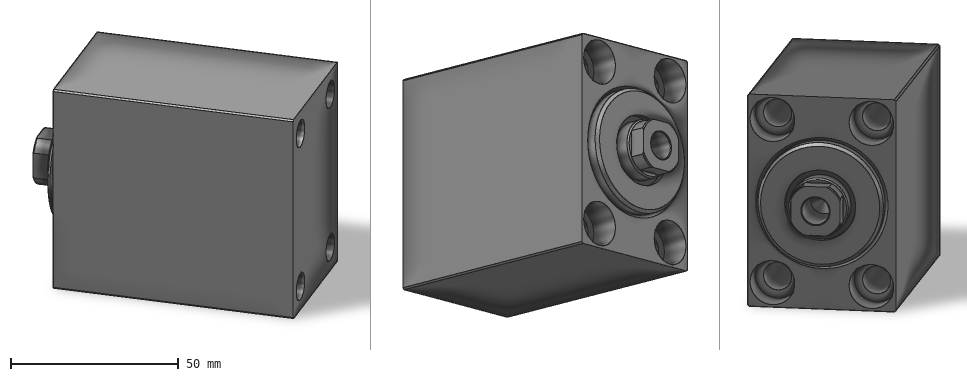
import cadquery as cq
import math

TOTAL_LENGTH = 86.0
HOUSING_LENGTH = 75.0
HOUSING_WIDTH = 45.0
HOUSING_HEIGHT = 65.0
EDGE_CHAMFER = 0.5

HOLE_SPACING_Y = 30.0
HOLE_SPACING_Z = 50.0
HOLE_DIAMETER = 8.5
COUNTERBORE_DIAMETER = 13.5
COUNTERBORE_DEPTH = 9.0

CAP_DIAMETER = 38.0
CAP_CHAMFER = 0.95
CAP_PROTRUSION = 3.0
CAP_SEAT_DEPTH = 20.0
POCKET_CHAMFER = 1.0

GROOVE_DIAMETER = 21.5
GROOVE_DEPTH = 2.0

ROD_DIAMETER = 18.0
ROD_END_DIAMETER = 17.0
ROD_END_LENGTH = 5.0
ROD_CHAMFER = (ROD_DIAMETER - ROD_END_DIAMETER) / 2
ACROSS_FLATS = 15.0
TIP_CHAMFER = 0.35

BORE_DIAMETER = 8.3
BORE_DEPTH = 15.0
BORE_CHAMFER = 0.3
DRILL_POINT_ANGLE = 118.0

ROD_TIP_X = 0.0
HOUSING_FRONT_X = TOTAL_LENGTH - HOUSING_LENGTH
CAP_FRONT_X = HOUSING_FRONT_X - CAP_PROTRUSION
SEAT_X = HOUSING_FRONT_X + CAP_SEAT_DEPTH


def cylinder(diameter, start_x, end_x):
    """Cylinder on the X axis between two stations."""
    plane = cq.Workplane("YZ", origin=(start_x, 0, 0))
    return plane.circle(diameter / 2).extrude(end_x - start_x)


def make_housing():
    """Block with a chamfered pocket for the cap and four counterbored holes."""
    block = (
        cq.Workplane("YZ", origin=(HOUSING_FRONT_X, 0, 0))
        .rect(HOUSING_WIDTH, HOUSING_HEIGHT)
        .extrude(HOUSING_LENGTH)
        .edges("|X")
        .chamfer(EDGE_CHAMFER)
    )
    block = (
        block.faces("<X")
        .workplane(origin=(HOUSING_FRONT_X, 0, 0))
        .rect(HOLE_SPACING_Y, HOLE_SPACING_Z, forConstruction=True)
        .vertices()
        .cboreHole(HOLE_DIAMETER, COUNTERBORE_DIAMETER, COUNTERBORE_DEPTH)
    )
    pocket = cylinder(CAP_DIAMETER, HOUSING_FRONT_X, SEAT_X)
    pocket_rim = cq.selectors.RadiusNthSelector(-1)
    return block.cut(pocket).faces("<X").edges("%CIRCLE").edges(pocket_rim).chamfer(POCKET_CHAMFER)


def make_cap():
    """Chamfered disc with a rod hole and a ring groove open to its front face."""
    cap = cylinder(CAP_DIAMETER, CAP_FRONT_X, SEAT_X).faces("<X").chamfer(CAP_CHAMFER)
    groove = cylinder(GROOVE_DIAMETER, CAP_FRONT_X, CAP_FRONT_X + GROOVE_DEPTH)
    rod_hole = cylinder(ROD_DIAMETER, CAP_FRONT_X, SEAT_X)
    return cap.cut(groove).cut(rod_hole)


def make_rod_bore():
    """Profile of the blind bore, turned about the X axis."""
    radius = BORE_DIAMETER / 2
    cone_length = radius / math.tan(math.radians(DRILL_POINT_ANGLE / 2))
    return (
        cq.Workplane("XY")
        .moveTo(ROD_TIP_X, 0)
        .lineTo(ROD_TIP_X, radius + BORE_CHAMFER)
        .lineTo(ROD_TIP_X + BORE_CHAMFER, radius)
        .lineTo(ROD_TIP_X + BORE_DEPTH, radius)
        .lineTo(ROD_TIP_X + BORE_DEPTH + cone_length, 0)
        .close()
        .revolve(360, (0, 0, 0), (1, 0, 0))
    )


def make_rod():
    """Round rod with a stepped end cut to four flats and a blind bore."""
    shoulder_x = ROD_TIP_X + ROD_END_LENGTH
    shank = cylinder(ROD_DIAMETER, shoulder_x, SEAT_X).faces("<X").chamfer(ROD_CHAMFER)
    rounded_end = cylinder(ROD_END_DIAMETER, ROD_TIP_X, shoulder_x).faces("<X").chamfer(TIP_CHAMFER)
    flats = (
        cq.Workplane("YZ", origin=(ROD_TIP_X, 0, 0))
        .rect(ACROSS_FLATS, ACROSS_FLATS)
        .extrude(ROD_END_LENGTH)
    )
    return shank.union(rounded_end.intersect(flats)).cut(make_rod_bore())


housing = make_housing()
cap = make_cap()
rod = make_rod()

result = cq.Compound.makeCompound([housing.val(), cap.val(), rod.val()])